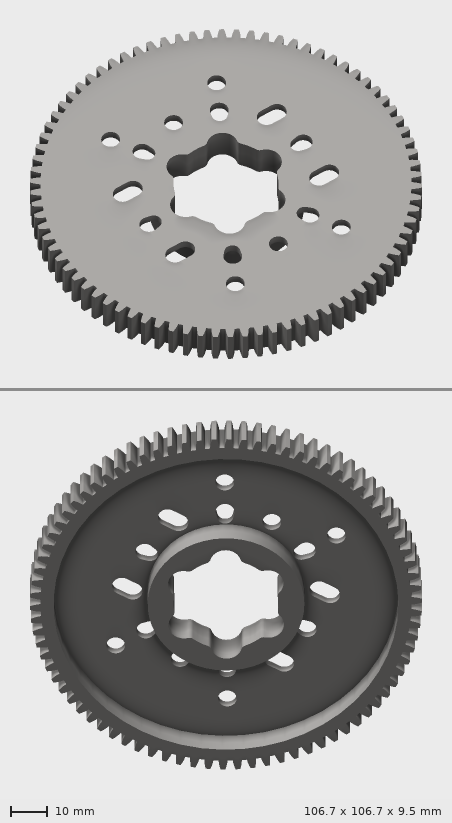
import cadquery as cq
import math

TEETH = 82
OUTER_DIAMETER = 106.7
THICKNESS = 9.5
MODULE = OUTER_DIAMETER / (TEETH + 2)
PRESSURE_ANGLE = math.radians(14.5)
DEDENDUM = 1.25 * MODULE
PITCH_RADIUS = MODULE * TEETH / 2
BASE_RADIUS = PITCH_RADIUS * math.cos(PRESSURE_ANGLE)
TIP_RADIUS = OUTER_DIAMETER / 2
ROOT_RADIUS = PITCH_RADIUS - DEDENDUM

WEB_THICKNESS = 2.5
HUB_RADIUS = 21.3
RIM_INNER_RADIUS = 46.9

BORE_RADIUS = 14.3
LOBE_ANGLES = (30, 90, 150, 210, 270, 330)
LOBE_RADIUS = 4.3
LOBE_CENTER_RADIUS = 13.2
LOBE_BLEND_RADIUS = 1.6

HOLE_DIAMETER = 5.1
INNER_END_DIAMETER = 4.4
BOLT_CIRCLE_RADIUS = 25.4
INNER_END_RADIUS = 23.8
OUTER_BOLT_CIRCLE_RADIUS = 34.9
TAPERED_SLOT_ANGLES = LOBE_ANGLES
OUTER_HOLE_ANGLES = (30, 150, 210, 330)
SIDE_HOLE_ANGLES = (0, 180)
SLOT_ANGLE = 60
SLOT_WIDTH = 5.3


def polar(radius, angle):
    return (radius * math.cos(angle), radius * math.sin(angle))


def polar_degrees(radius, angles):
    return [polar(radius, math.radians(angle)) for angle in angles]


def flank_half_angle(radius):
    """Half of the angle a tooth spans at a radius on its involute flank."""
    def involute(angle):
        return math.tan(angle) - angle

    local_pressure_angle = math.acos(BASE_RADIUS / radius)
    return math.pi / (2 * TEETH) + involute(PRESSURE_ANGLE) - involute(local_pressure_angle)


def cylinders(points, diameter):
    return cq.Workplane("XY").pushPoints(points).circle(diameter / 2).extrude(THICKNESS)


def gear_blank():
    """Toothed disc with one tooth centered on the +Y axis."""
    pitch_angle = 2 * math.pi / TEETH
    root_half = flank_half_angle(ROOT_RADIUS)
    pitch_half = flank_half_angle(PITCH_RADIUS)
    tip_half = flank_half_angle(TIP_RADIUS)
    first_tooth = math.pi / 2

    outline = cq.Workplane("XY").moveTo(*polar(ROOT_RADIUS, first_tooth - root_half))
    for tooth in range(TEETH):
        center = first_tooth + tooth * pitch_angle
        next_tooth_start = center + pitch_angle - root_half
        outline = (
            outline
            .threePointArc(polar(PITCH_RADIUS, center - pitch_half), polar(TIP_RADIUS, center - tip_half))
            .threePointArc(polar(TIP_RADIUS, center), polar(TIP_RADIUS, center + tip_half))
            .threePointArc(
                polar(PITCH_RADIUS, center + pitch_half),
                polar(ROOT_RADIUS, center + root_half),
            )
            .threePointArc(
                polar(ROOT_RADIUS, center + pitch_angle / 2),
                polar(ROOT_RADIUS, next_tooth_start),
            )
        )
    return outline.close().extrude(THICKNESS)


def underside_recess():
    """Annular pocket that leaves a web between the hub and the toothed rim."""
    ring = cq.Workplane("XY").circle(RIM_INNER_RADIUS).circle(HUB_RADIUS)
    return ring.extrude(THICKNESS - WEB_THICKNESS)


def center_bore():
    lobe_points = polar_degrees(LOBE_CENTER_RADIUS, LOBE_ANGLES)
    bore = cq.Workplane("XY").circle(BORE_RADIUS).extrude(THICKNESS)
    bore = bore.union(cylinders(lobe_points, 2 * LOBE_RADIUS))
    return bore.edges("|Z").fillet(LOBE_BLEND_RADIUS)


def bolt_holes():
    main_points = polar_degrees(BOLT_CIRCLE_RADIUS, SIDE_HOLE_ANGLES)
    outer_points = polar_degrees(OUTER_BOLT_CIRCLE_RADIUS, OUTER_HOLE_ANGLES)
    return cylinders(main_points + outer_points, HOLE_DIAMETER)


def tapered_slot(angle):
    """Radial slot whose straight sides are tangent to a large outer and a small inner end arc."""
    outer_end = HOLE_DIAMETER / 2
    inner_end = INNER_END_DIAMETER / 2
    center_distance = BOLT_CIRCLE_RADIUS - INNER_END_RADIUS
    taper = math.asin((outer_end - inner_end) / center_distance)

    outer_x = BOLT_CIRCLE_RADIUS - outer_end * math.sin(taper)
    outer_y = outer_end * math.cos(taper)
    inner_x = INNER_END_RADIUS - inner_end * math.sin(taper)
    inner_y = inner_end * math.cos(taper)
    return (
        cq.Workplane("XY")
        .moveTo(inner_x, -inner_y)
        .lineTo(outer_x, -outer_y)
        .threePointArc((BOLT_CIRCLE_RADIUS + outer_end, 0), (outer_x, outer_y))
        .lineTo(inner_x, inner_y)
        .threePointArc((INNER_END_RADIUS - inner_end, 0), (inner_x, -inner_y))
        .close()
        .extrude(THICKNESS)
        .rotate((0, 0, 0), (0, 0, 1), angle)
    )


def straight_slots():
    """Slots along Y, starting on the bolt circle and ending level with its extreme Y."""
    slot_x, inner_y = polar(BOLT_CIRCLE_RADIUS, math.radians(SLOT_ANGLE))
    outer_y = BOLT_CIRCLE_RADIUS
    middle_y = (inner_y + outer_y) / 2
    length = outer_y - inner_y + SLOT_WIDTH
    centers = [(side * slot_x, end * middle_y) for side in (-1, 1) for end in (-1, 1)]
    return (
        cq.Workplane("XY")
        .pushPoints(centers)
        .slot2D(length, SLOT_WIDTH, 90)
        .extrude(THICKNESS)
    )


result = (
    gear_blank()
    .cut(underside_recess())
    .cut(center_bore())
    .cut(bolt_holes())
    .cut(straight_slots())
)
for slot_angle in TAPERED_SLOT_ANGLES:
    result = result.cut(tapered_slot(slot_angle))